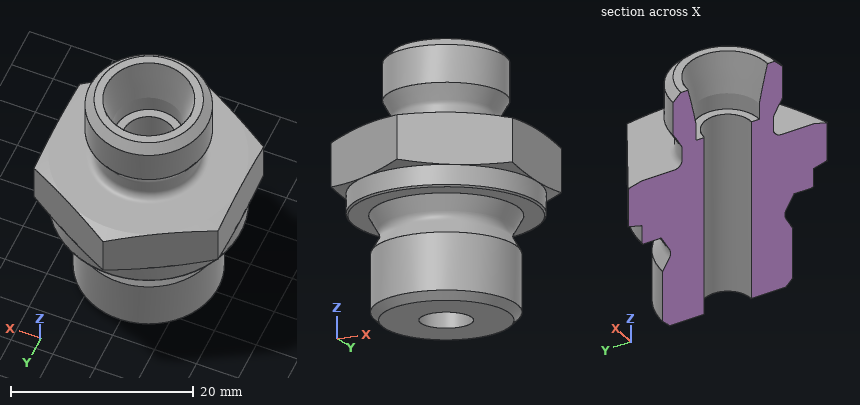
import cadquery as cq
import math

PORT_LENGTH = 12.0
COLLAR_HEIGHT = 2.5
HEX_HEIGHT = 6.0
TUBE_END_LENGTH = 10.0

COLLAR_BOTTOM = PORT_LENGTH
HEX_BOTTOM = COLLAR_BOTTOM + COLLAR_HEIGHT
HEX_TOP = HEX_BOTTOM + HEX_HEIGHT
TOTAL_HEIGHT = HEX_TOP + TUBE_END_LENGTH

HEX_ACROSS_FLATS = 22.0
HEX_CHAMFER_ANGLE = 15.0
COLLAR_DIAMETER = HEX_ACROSS_FLATS
COLLAR_CHAMFER = 0.2

PORT_DIAMETER = 16.66
PORT_CHAMFER = 0.9
PORT_THREAD_LENGTH = 7.57
PORT_GROOVE_DIAMETER = 14.66
PORT_GROOVE_RADIUS = 1.2

TUBE_DIAMETER = 14.0
TUBE_CHAMFER = 1.0
UNDERCUT_DIAMETER = 11.7
UNDERCUT_HEIGHT = 2.67
UNDERCUT_RADIUS = 1.0

FLANK_ANGLE = math.radians(30.0)

CONE_MOUTH_DIAMETER = 10.1
CONE_HALF_ANGLE = math.radians(12.0)
SOCKET_DIAMETER = 8.0
SOCKET_DEPTH = 7.0
PASSAGE_DIAMETER = 6.0


def revolve_profile(profile):
    """Revolve a closed (radius, z) profile around the Z axis."""
    return profile.close().revolve(360, (0, 0, 0), (0, 1, 0))


def make_port_end():
    """Lower thread with an end chamfer, a rounded V groove and a flare up to the collar."""
    radius = PORT_DIAMETER / 2
    floor_radius = PORT_GROOVE_DIAMETER / 2
    arc_half_height = PORT_GROOVE_RADIUS * math.sin(FLANK_ANGLE)
    arc_end_radius = floor_radius + PORT_GROOVE_RADIUS * (1 - math.cos(FLANK_ANGLE))
    arc_bottom = PORT_THREAD_LENGTH + (radius - arc_end_radius) / math.tan(FLANK_ANGLE)
    arc_middle = arc_bottom + arc_half_height
    arc_top = arc_middle + arc_half_height
    flare_radius = arc_end_radius + (PORT_LENGTH - arc_top) * math.tan(FLANK_ANGLE)
    profile = (
        cq.Workplane("XZ")
        .moveTo(0, 0)
        .lineTo(radius - PORT_CHAMFER, 0)
        .lineTo(radius, PORT_CHAMFER)
        .lineTo(radius, PORT_THREAD_LENGTH)
        .lineTo(arc_end_radius, arc_bottom)
        .threePointArc((floor_radius, arc_middle), (arc_end_radius, arc_top))
        .lineTo(flare_radius, PORT_LENGTH)
        .lineTo(0, PORT_LENGTH)
    )
    return revolve_profile(profile)


def make_collar():
    """Round collar below the hexagon, with a small chamfer on its lower edge."""
    return (
        cq.Workplane("XY", origin=(0, 0, COLLAR_BOTTOM))
        .circle(COLLAR_DIAMETER / 2)
        .extrude(COLLAR_HEIGHT)
        .faces("<Z")
        .chamfer(COLLAR_CHAMFER)
    )


def make_hexagon():
    """Hexagon with two flats facing +X and -X, its corners turned conical at both ends."""
    flat_radius = HEX_ACROSS_FLATS / 2
    corner_radius = flat_radius / math.cos(math.pi / 6)
    corner_drop = (corner_radius - flat_radius) * math.tan(math.radians(HEX_CHAMFER_ANGLE))
    prism = (
        cq.Workplane("XY", origin=(0, 0, HEX_BOTTOM))
        .polygon(6, 2 * corner_radius)
        .extrude(HEX_HEIGHT)
        .rotate((0, 0, 0), (0, 0, 1), 30)
    )
    envelope = revolve_profile(
        cq.Workplane("XZ")
        .moveTo(0, HEX_BOTTOM)
        .lineTo(flat_radius, HEX_BOTTOM)
        .lineTo(corner_radius, HEX_BOTTOM + corner_drop)
        .lineTo(corner_radius, HEX_TOP - corner_drop)
        .lineTo(flat_radius, HEX_TOP)
        .lineTo(0, HEX_TOP)
    )
    return prism.intersect(envelope)


def make_tube_end():
    """Upper thread with an end chamfer and a filleted undercut above the hexagon."""
    radius = TUBE_DIAMETER / 2
    neck_radius = UNDERCUT_DIAMETER / 2
    cone_foot = HEX_TOP + UNDERCUT_HEIGHT
    thread_bottom = cone_foot + (radius - neck_radius) / math.tan(FLANK_ANGLE)
    tangent = UNDERCUT_RADIUS * math.tan(FLANK_ANGLE / 2)
    arc_start = cone_foot - tangent
    arc_mid = (
        neck_radius + UNDERCUT_RADIUS * (1 - math.cos(FLANK_ANGLE / 2)),
        arc_start + UNDERCUT_RADIUS * math.sin(FLANK_ANGLE / 2),
    )
    arc_end = (
        neck_radius + tangent * math.sin(FLANK_ANGLE),
        cone_foot + tangent * math.cos(FLANK_ANGLE),
    )
    root_offset = UNDERCUT_RADIUS * (1 - math.sqrt(0.5))
    profile = (
        cq.Workplane("XZ")
        .moveTo(0, HEX_TOP)
        .lineTo(neck_radius + UNDERCUT_RADIUS, HEX_TOP)
        .threePointArc(
            (neck_radius + root_offset, HEX_TOP + root_offset),
            (neck_radius, HEX_TOP + UNDERCUT_RADIUS),
        )
        .lineTo(neck_radius, arc_start)
        .threePointArc(arc_mid, arc_end)
        .lineTo(radius, thread_bottom)
        .lineTo(radius, TOTAL_HEIGHT - TUBE_CHAMFER)
        .lineTo(radius - TUBE_CHAMFER, TOTAL_HEIGHT)
        .lineTo(0, TOTAL_HEIGHT)
    )
    return revolve_profile(profile)


def make_bore():
    """Sealing cone at the top, tube socket with a flat stop, then the through passage."""
    mouth_radius = CONE_MOUTH_DIAMETER / 2
    socket_radius = SOCKET_DIAMETER / 2
    passage_radius = PASSAGE_DIAMETER / 2
    cone_bottom = TOTAL_HEIGHT - (mouth_radius - socket_radius) / math.tan(CONE_HALF_ANGLE)
    socket_floor = TOTAL_HEIGHT - SOCKET_DEPTH
    profile = (
        cq.Workplane("XZ")
        .moveTo(0, 0)
        .lineTo(passage_radius, 0)
        .lineTo(passage_radius, socket_floor)
        .lineTo(socket_radius, socket_floor)
        .lineTo(socket_radius, cone_bottom)
        .lineTo(mouth_radius, TOTAL_HEIGHT)
        .lineTo(0, TOTAL_HEIGHT)
    )
    return revolve_profile(profile)


body = make_port_end().union(make_collar()).union(make_hexagon()).union(make_tube_end())
result = body.cut(make_bore())